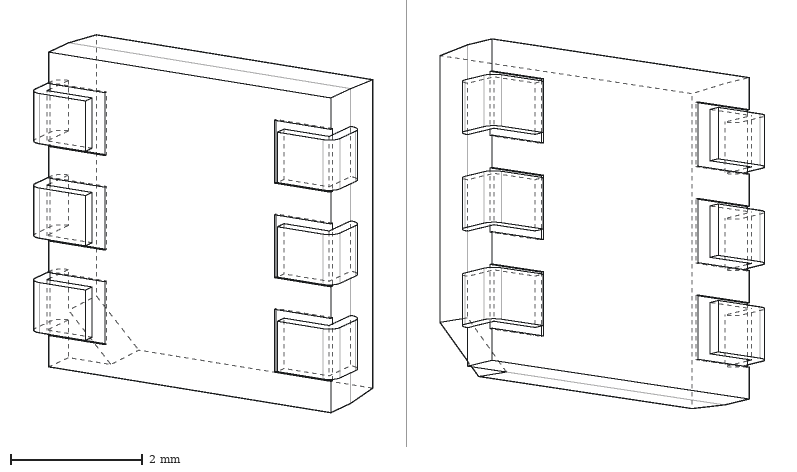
import cadquery as cq
import math


overall_width = 5.4
overall_depth = 1.6
lead_thickness = 0.2
body_side = overall_width - 2 * lead_thickness

cap_depth = 0.75
cap_inset = 0.05
corner_chamfer = 0.75

foot_gap = 0.05
foot_length = 1.0
lead_width = 0.8
lead_pitch = 1.5
lead_bend_radius = 0.19

pocket_side = 1.0
pocket_depth = 0.05

base_back = overall_depth - cap_depth
base_front = lead_thickness + foot_gap
half_body = body_side / 2
half_width = overall_width / 2
lead_heights = [-lead_pitch, 0, lead_pitch]


def make_base():
    """Square slab behind the lead feet."""
    return cq.Workplane("XY").box(
        body_side, base_back - base_front, body_side
    ).translate((0, (base_front + base_back) / 2, 0))


def make_cap():
    """Drafted cap with the corner at -X, -Z chamfered along its sloping edge."""
    draft_angle = math.degrees(math.atan2(cap_inset, cap_depth))
    cap = (
        cq.Workplane("XZ", origin=(0, base_back, 0))
        .rect(body_side, body_side)
        .extrude(-cap_depth, taper=draft_angle)
    )
    corner_edge = cq.selectors.NearestToPointSelector(
        (-half_body, base_back + cap_depth / 2, -half_body)
    )
    return cap.edges(corner_edge).chamfer(corner_chamfer)


def make_pocket(height):
    """Shallow recess in the mounting face, open at the -X side of the body."""
    return cq.Workplane("XY").box(
        pocket_side, pocket_depth, pocket_side, centered=(False, False, True)
    ).translate((-half_body, base_front, height))


def make_lead(height):
    """L-shaped lead on the -X side: a leg along the base and a foot turned under it."""
    return (
        cq.Workplane("XY", origin=(0, 0, height - lead_width / 2))
        .moveTo(-half_width, 0)
        .lineTo(-half_width + foot_length, 0)
        .lineTo(-half_width + foot_length, lead_thickness)
        .lineTo(-half_body, lead_thickness)
        .lineTo(-half_body, base_back)
        .lineTo(-half_width, base_back)
        .close()
        .extrude(lead_width)
        .edges("|Z and <X")
        .fillet(lead_bend_radius)
    )


result = make_base().union(make_cap())

for height in lead_heights:
    pocket = make_pocket(height)
    result = result.cut(pocket).cut(pocket.mirror("YZ"))

for height in lead_heights:
    lead = make_lead(height)
    result = result.union(lead).union(lead.mirror("YZ"))